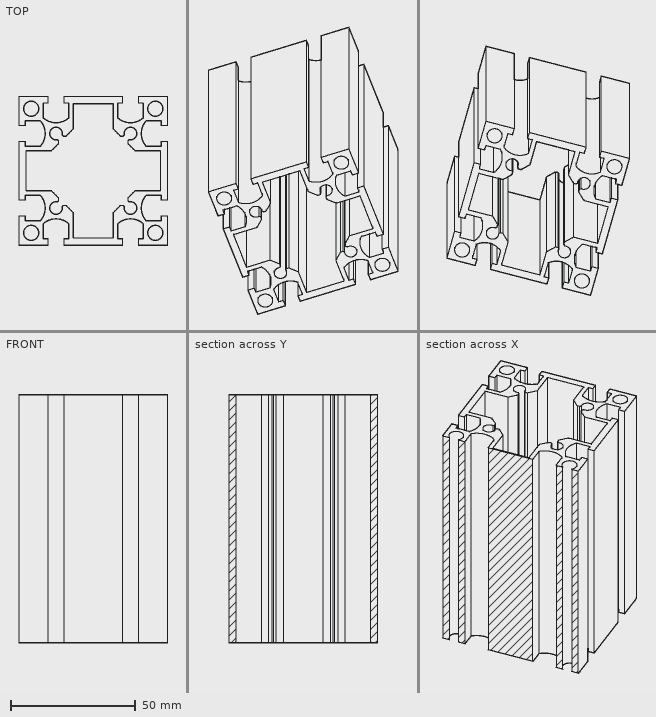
import cadquery as cq
import math

side = 60.0
length = 100.0
half_side = side / 2

slot_offset = 15.0
slot_mouth = 6.3
slot_width = 10.2
lip_thickness = 2.7
slot_wall_depth = 8.7
slot_depth = 10.6

corner_hole_diameter = 6.0
corner_hole_offset = half_side - 5.0

face_wall = 3.0
channel_half_width = 8.0
bore_radius = 2.5
bore_offset = 15.0
bore_opening = 2.6
tip_distance = 1.1
chamfer = 3.0


def make_slot():
    """T-slot in the +Y face, centred on X = 0."""
    half_mouth = slot_mouth / 2
    half_width = slot_width / 2
    lip_y = half_side - lip_thickness
    wall_end_y = half_side - slot_wall_depth
    floor_y = half_side - slot_depth
    return (
        cq.Workplane("XY")
        .moveTo(-half_mouth, half_side)
        .lineTo(-half_mouth, lip_y)
        .lineTo(-half_width, lip_y)
        .lineTo(-half_width, wall_end_y)
        .threePointArc((0, floor_y), (half_width, wall_end_y))
        .lineTo(half_width, lip_y)
        .lineTo(half_mouth, lip_y)
        .lineTo(half_mouth, half_side)
        .close()
        .extrude(length)
    )


def make_hollow_quarter():
    """Quarter of the hollow in the +X +Y quadrant, symmetric about the line X = Y."""

    def mirrored(point):
        return (point[1], point[0])

    across = bore_opening / 2
    along = math.sqrt(bore_radius**2 - across**2)
    bore_edge = (
        bore_offset - (along + across) * math.sqrt(0.5),
        bore_offset - (along - across) * math.sqrt(0.5),
    )
    bore_far = bore_offset + bore_radius * math.sqrt(0.5)

    tip_y = bore_offset - tip_distance
    tip_inner = (tip_y - bore_opening * math.sqrt(0.5), tip_y)
    tip_outer = (channel_half_width + chamfer, tip_y)
    wall_end = (channel_half_width, tip_y + chamfer)

    channel_end = half_side - face_wall
    channel_corner = (channel_half_width, channel_end)
    return (
        cq.Workplane("XY")
        .moveTo(0, 0)
        .lineTo(0, channel_end)
        .lineTo(*channel_corner)
        .lineTo(*wall_end)
        .lineTo(*tip_outer)
        .lineTo(*tip_inner)
        .lineTo(*bore_edge)
        .threePointArc((bore_far, bore_far), mirrored(bore_edge))
        .lineTo(*mirrored(tip_inner))
        .lineTo(*mirrored(tip_outer))
        .lineTo(*mirrored(wall_end))
        .lineTo(*mirrored(channel_corner))
        .lineTo(channel_end, 0)
        .close()
        .extrude(length)
    )


def make_corner_hole():
    return (
        cq.Workplane("XY")
        .center(corner_hole_offset, corner_hole_offset)
        .circle(corner_hole_diameter / 2)
        .extrude(length)
    )


quarter_cuts = [
    make_slot().translate((-slot_offset, 0, 0)),
    make_slot().translate((slot_offset, 0, 0)),
    make_hollow_quarter(),
    make_corner_hole(),
]

result = cq.Workplane("XY").rect(side, side).extrude(length)
for quarter in range(4):
    for cut in quarter_cuts:
        result = result.cut(cut.rotate((0, 0, 0), (0, 0, 1), 90 * quarter))